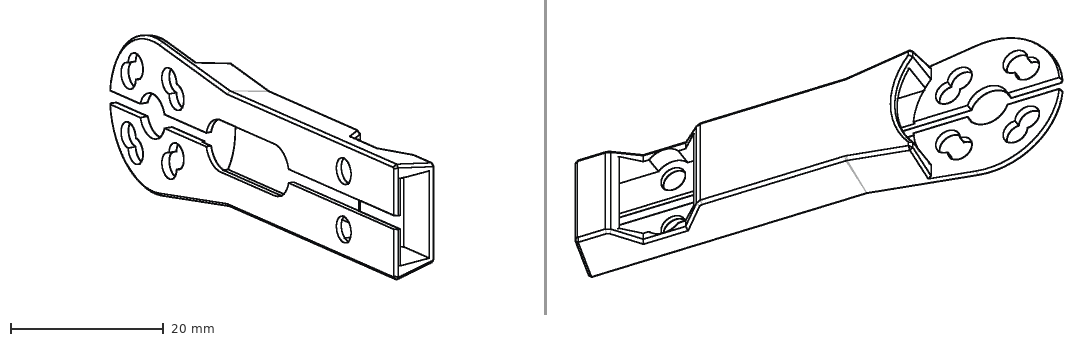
import cadquery as cq
import math

length = 69.2
depth = 7.0
hub_radius = 10.65
arm_half_width = 7.9
bend_x = 18.0
draft_angle = 10.0
edge_chamfer = 0.4
plate_thickness = 1.2

slit_width = 1.9
hub_bore_diameter = 6.1
hole_diameter = 3.5
hole_circle_radius = 7.05
hole_angles = (35, 55)
arm_hole_x = 46.1
arm_hole_spacing = 7.95
window_start_x = 12.9
window_end_x = 32.95
window_width = 7.05

body_start_x = 8.25
hub_clearance_radius = 10.85
cavity_half_width = 5.95
roof_thickness = 1.1
cavity_floor_y = 0.75
clearance_diameter = 5.8
notch_start_x = 39.45
notch_end_x = 52.5
notch_depth = 3.45

slit_half_width = slit_width / 2
arm_hole_z = arm_hole_spacing / 2
arm_end_x = length - math.sqrt(hub_radius**2 - slit_half_width**2)
margin = 6.9


def plane_at(y):
    """XZ sketch plane at height y whose normal points toward +Y (local y is -Z)."""
    return cq.Workplane(cq.Plane(origin=(0, y, 0), xDir=(1, 0, 0), normal=(0, 1, 0)))


def box(x_range, y_range, half_width):
    """Block centred on Z = 0."""
    size_x = x_range[1] - x_range[0]
    size_y = y_range[1] - y_range[0]
    corner = (x_range[0], y_range[0], 0)
    block = cq.Workplane("XY").box(size_x, size_y, 2 * half_width, centered=(False, False, True))
    return block.translate(corner)


def outline(y):
    """Round hub with tangent sides running into a straight arm."""
    bend_distance = math.hypot(bend_x, arm_half_width)
    tangent_angle = math.atan2(arm_half_width, bend_x) + math.acos(hub_radius / bend_distance)
    tangent_x = hub_radius * math.cos(tangent_angle)
    tangent_z = hub_radius * math.sin(tangent_angle)
    return (
        plane_at(y)
        .moveTo(tangent_x, tangent_z)
        .threePointArc((-hub_radius, 0), (tangent_x, -tangent_z))
        .lineTo(bend_x, -arm_half_width)
        .lineTo(arm_end_x, -arm_half_width)
        .lineTo(arm_end_x, arm_half_width)
        .lineTo(bend_x, arm_half_width)
        .close()
    )


def drafted_block():
    """Full-depth block from the widest section to the back, with its arm end corners chamfered."""
    block = outline(edge_chamfer).extrude(depth - edge_chamfer, taper=draft_angle)
    return block.faces(">>X").edges("not #Y").chamfer(edge_chamfer)


def make_plate():
    """Plate with drafted sides and a chamfered front rim."""
    back = drafted_block().intersect(
        box((-2 * hub_radius, arm_end_x + margin), (0, plate_thickness), 2 * hub_radius)
    )
    front = back.faces("<Y").wires().toPending().workplane().extrude(edge_chamfer, taper=45, combine=False)
    return back.union(front)


def make_body():
    """Drafted body behind the plate, notched across its back and chamfered."""
    reach = 2 * hub_radius
    body = drafted_block().cut(box((-reach, body_start_x), (-margin, depth + margin), reach))
    notch = (
        cq.Workplane("XY")
        .moveTo(notch_start_x, depth)
        .lineTo(notch_start_x + notch_depth, depth - notch_depth)
        .lineTo(notch_end_x - notch_depth, depth - notch_depth)
        .lineTo(notch_end_x, depth)
        .close()
        .extrude(reach, both=True)
    )
    hub_clearance = plane_at(0).circle(hub_clearance_radius).extrude(depth)
    body = body.cut(notch).cut(hub_clearance)
    hub_end_edges = body.faces("<X").edges("not(|Y or |Z)")
    back_edges = body.faces(">Y").edges()
    notch_box = cq.selectors.BoxSelector(
        (notch_start_x, depth - notch_depth - edge_chamfer, -reach),
        (notch_end_x, depth - edge_chamfer, reach),
    )
    notch_side_edges = body.edges(notch_box).edges("not |Z")
    edges = hub_end_edges.add(back_edges).add(notch_side_edges)
    return body.newObject(list(set(edges.vals()))).chamfer(edge_chamfer)


def hollow():
    """Tunnel along X from the hub clearance to the arm end, widened behind the arm holes."""
    tunnel = box((0, arm_end_x + margin), (cavity_floor_y, depth - roof_thickness), cavity_half_width)
    hub_area = plane_at(0).circle(hub_clearance_radius).extrude(depth)
    reliefs = (
        plane_at(cavity_floor_y)
        .pushPoints([(arm_hole_x, arm_hole_z), (arm_hole_x, -arm_hole_z)])
        .circle(clearance_diameter / 2)
        .extrude(depth)
    )
    return tunnel.cut(hub_area).union(reliefs)


def plate_openings():
    """Slit, hub bore, adjustment holes, arm holes and window, all through the plate."""
    holes = [(arm_hole_x, arm_hole_z), (arm_hole_x, -arm_hole_z)]
    for angle in hole_angles:
        x = hole_circle_radius * math.cos(math.radians(angle))
        z = hole_circle_radius * math.sin(math.radians(angle))
        holes += [(x, z), (-x, z), (x, -z), (-x, -z)]
    window_centre = (window_start_x + window_end_x) / 2
    start = plane_at(0)
    hub_bore = start.circle(hub_bore_diameter / 2).extrude(plate_thickness)
    window = start.center(window_centre, 0).slot2D(window_end_x - window_start_x, window_width)
    slit = box((-2 * hub_radius, arm_end_x + margin), (0, plate_thickness), slit_half_width)
    tools = slit.union(hub_bore).union(window.extrude(plate_thickness))
    for x, z in holes:
        tools = tools.union(start.moveTo(x, z).circle(hole_diameter / 2).extrude(plate_thickness))
    return tools


result = make_plate().union(make_body()).cut(hollow()).cut(plate_openings())